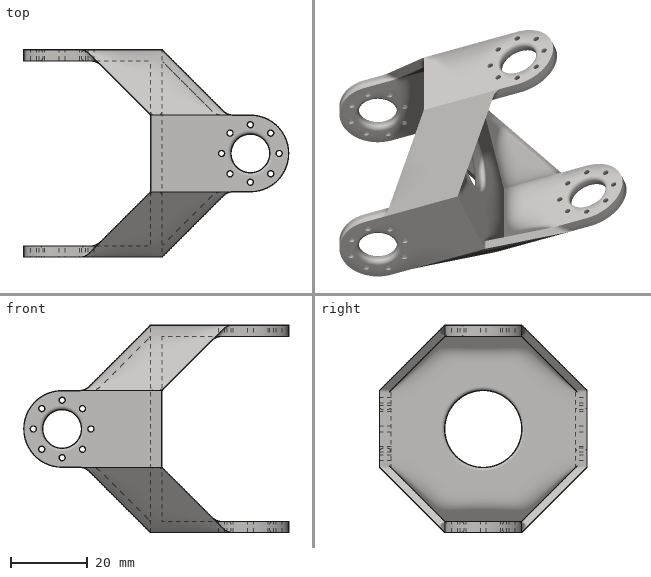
import cadquery as cq
import math

length = 69.0
width = 54.0
arm_width = 20.0
wall = 3.0
rounding = 1.0
bearing_bore = 10.0
web_bore = 20.0
bolt_hole = 1.5
bolt_circle = 15.0
bolt_count = 8

half_width = width / 2
half_arm = arm_width / 2
inner_half_width = half_width - wall
mid_x = length / 2
web_face_x = mid_x - wall / 2
gusset_run = half_width - half_arm
gusset_tip_x = web_face_x - gusset_run
bolt_depth = width + wall


def octagon_prism(half_span, start_x, end_x):
    """Prism along X on an octagon whose sides facing Y and Z are one arm wide."""
    corners = [
        (half_span, -half_arm),
        (half_span, half_arm),
        (half_arm, half_span),
        (-half_arm, half_span),
        (-half_span, half_arm),
        (-half_span, -half_arm),
        (-half_arm, -half_span),
        (half_arm, -half_span),
    ]
    base = cq.Workplane("YZ").workplane(offset=start_x)
    return base.polyline(corners).close().extrude(end_x - start_x)


def arm_envelope():
    """Round-ended strip across Y that bounds the two arms."""
    return (
        cq.Workplane("XZ")
        .moveTo(mid_x, half_arm)
        .lineTo(half_arm, half_arm)
        .threePointArc((0, 0), (half_arm, -half_arm))
        .lineTo(mid_x, -half_arm)
        .close()
        .extrude(half_width, both=True)
    )


def gusset_envelope():
    """Full-height prism along Z that trims the diagonal walls to 45 degree gussets."""
    return (
        cq.Workplane("XY")
        .moveTo(mid_x, half_width)
        .lineTo(gusset_tip_x, half_width)
        .lineTo(web_face_x, half_arm)
        .lineTo(web_face_x, -half_arm)
        .lineTo(gusset_tip_x, -half_width)
        .lineTo(mid_x, -half_width)
        .close()
        .extrude(half_width, both=True)
    )


def box_around(center):
    """Selector for the edges centred close to a point."""
    reach = rounding / 2
    low = tuple(value - reach for value in center)
    high = tuple(value + reach for value in center)
    return cq.selectors.BoxSelector(low, high)


def round_gusset_ends(body):
    """Fillet each gusset edge where it runs out on an arm and where it meets the web."""
    wall_middle = half_width - wall / 2
    for y_side in (1, -1):
        for z_side in (1, -1):
            arm_end = (gusset_tip_x + wall / 2, y_side * wall_middle, z_side * half_arm)
            web_end = (web_face_x, y_side * half_arm, z_side * wall_middle)
            body = body.edges(box_around(arm_end)).fillet(rounding)
            body = body.edges(box_around(web_end)).fillet(rounding)
    return body


def rounded_bore(diameter, middle_y):
    """Cutter along Y through one wall thickness, flaring at both faces to round the rims."""
    radius = diameter / 2
    rim = radius + rounding
    near = middle_y - wall / 2
    far = middle_y + wall / 2
    bulge = rounding * (1 - math.sqrt(0.5))
    return (
        cq.Workplane("XY")
        .moveTo(0, near)
        .lineTo(rim, near)
        .threePointArc((radius + bulge, near + bulge), (radius, near + rounding))
        .lineTo(radius, far - rounding)
        .threePointArc((radius + bulge, far - bulge), (rim, far))
        .lineTo(0, far)
        .close()
        .revolve(360, (0, 0), (0, 1))
    )


def arm_holes():
    """Bearing bore and bolt circle through both arms of one fork."""
    holes = (
        cq.Workplane("XZ")
        .polarArray(bolt_circle / 2, 0, 360, bolt_count)
        .circle(bolt_hole / 2)
        .extrude(bolt_depth / 2, both=True)
    )
    for side in (1, -1):
        holes = holes.add(rounded_bore(bearing_bore, side * (half_width - wall / 2)))
    return holes.combine().translate((half_arm, 0, 0))


def fork():
    """Half of the part: two arms facing -X, their gussets and half of the web."""
    shell = octagon_prism(half_width, 0, mid_x).cut(octagon_prism(inner_half_width, 0, web_face_x))
    body = shell.intersect(arm_envelope().union(gusset_envelope()))
    return round_gusset_ends(body).cut(arm_holes())


def web_hole():
    return rounded_bore(web_bore, 0).rotate((0, 0, 0), (0, 0, 1), 90).translate((mid_x, 0, 0))


first_fork = fork()
second_fork = first_fork.rotate((mid_x, 0, 0), (mid_x, 0.7, 0.7), 180)
result = first_fork.union(second_fork).cut(web_hole())